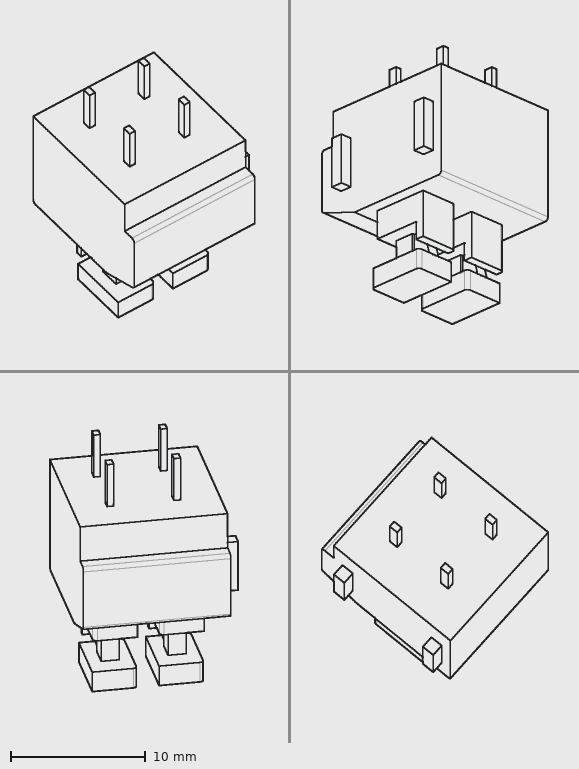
import cadquery as cq


overall_width = 12.15
overall_height = 18.7

body_length = 12.6
body_width = 11.18
body_height = 9.13
shelf_depth = 1.18
shelf_z = 6.28
slope_start_x = 9.15
slope_end_z = 1.16
corner_radius = 0.3

lug_width = 1.01
lug_projection = overall_width - body_width
lug_bottom_z = 2.25
lug_centers_x = (1.37, 10.06)

pole_count = 2
pole_pitch = 5.07
pin_size_x = 0.73
pin_size_y = 0.5
pin_length = 3.48
pin_centers_x = (3.15, 8.13)
first_pin_y = 2.88

sleeve_x = 2.95
sleeve_length = 4.82
sleeve_y = 1.72
sleeve_width = 3.37
sleeve_height = 2.34
tab_thickness = 0.75
tab_height = 3.8

button_x = 3.6
button_length = 5.01
button_width = 3.4
button_y = 1.48
button_height = 1.63
button_bottom_z = body_height + pin_length - overall_height
button_top_z = button_bottom_z + button_height

stem_x = 5.31
stem_end_x = 7.0
stem_width = 1.38
rib_width = 0.97
rib_top_x = 4.3
rib_foot_x = 3.72
stem_center_y = button_y + button_width / 2


def box(x, y, z, length, width, height):
    """Box with its lowest corner at (x, y, z)."""
    return cq.Workplane("XY").box(length, width, height, centered=False).translate((x, y, z))


def make_housing():
    ledge_x = body_length - shelf_depth
    profile = [
        (0, 0),
        (slope_start_x, 0),
        (body_length, slope_end_z),
        (body_length, shelf_z),
        (ledge_x, shelf_z),
        (ledge_x, body_height),
        (0, body_height),
    ]
    housing = cq.Workplane("XZ").polyline(profile).close().extrude(-body_width)
    outer_edges = housing.faces(">X").edges("|Y")
    low_edge = housing.faces("<X").edges("<Z")
    return housing.newObject(outer_edges.vals() + low_edge.vals()).fillet(corner_radius)


def make_lug(center_x):
    return box(center_x - lug_width / 2, body_width, lug_bottom_z,
               lug_width, lug_projection, shelf_z - lug_bottom_z)


def make_pin(center_x, center_y):
    return box(center_x - pin_size_x / 2, center_y - pin_size_y / 2, body_height,
               pin_size_x, pin_size_y, pin_length)


def make_sleeve():
    """Guide block with a longer tab on its -X side, rounded along the -Y corners."""
    block = box(sleeve_x, sleeve_y, -sleeve_height, sleeve_length, sleeve_width, sleeve_height)
    tab = box(sleeve_x, sleeve_y, -tab_height, tab_thickness, sleeve_width, tab_height)
    sleeve = block.union(tab)
    return sleeve.faces("<Y").edges("|Z and (<X or >X)").fillet(corner_radius)


def make_stem():
    """Rectangular stem with a narrower tapered rib on its -X side."""
    stem_height = -sleeve_height - button_top_z
    stem = box(stem_x, stem_center_y - stem_width / 2, button_top_z,
               stem_end_x - stem_x, stem_width, stem_height)
    rib = (
        cq.Workplane("XZ", origin=(0, stem_center_y, 0))
        .moveTo(rib_foot_x, button_top_z)
        .lineTo(stem_x, button_top_z)
        .lineTo(stem_x, -sleeve_height)
        .lineTo(rib_top_x, -sleeve_height)
        .close()
        .extrude(rib_width / 2, both=True)
    )
    return stem.union(rib)


def make_button():
    """Push button, rounded along the +Y corners."""
    button = box(button_x, button_y, button_bottom_z, button_length, button_width, button_height)
    return button.faces(">Y").edges("|Z").fillet(corner_radius)


result = make_housing()

for lug_center_x in lug_centers_x:
    result = result.union(make_lug(lug_center_x))

actuator = make_sleeve().union(make_stem()).union(make_button())
for pole in range(pole_count):
    pole_offset = pole * pole_pitch
    for pin_center_x in pin_centers_x:
        result = result.union(make_pin(pin_center_x, first_pin_y + pole_offset))
    result = result.union(actuator.translate((0, pole_offset, 0)))